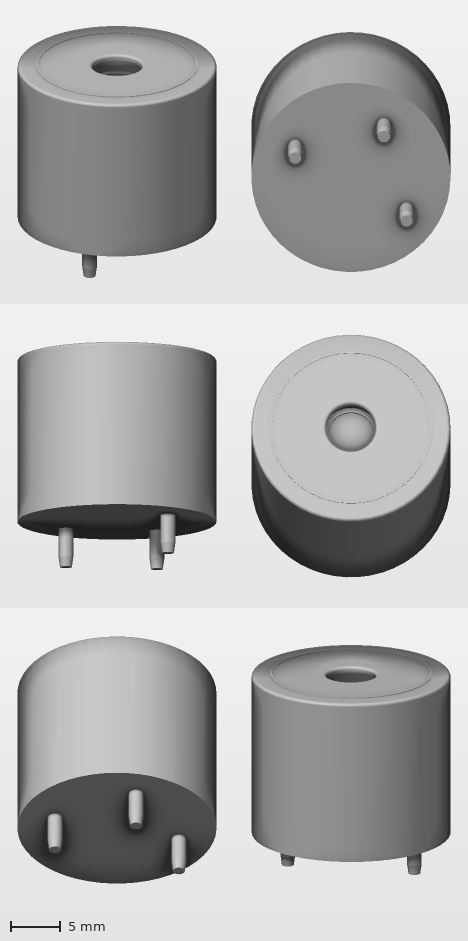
import cadquery as cq

body_diameter = 20.0
total_height = 20.6
pin_length = 3.9
rim_rounding = 0.3

ring_height = 0.08
ring_outer_radius = 8.12
ring_inner_radius = 7.95

opening_radius = 2.5
opening_rounding = 0.3
lip_thickness = 0.6
cavity_radius = opening_radius + opening_rounding
cavity_depth = 1.92
recess_radius = 2.3
recess_depth = 0.2

pin_radius = 0.75
pin_tip_radius = 0.6
pin_taper_length = 1.0
pin_offset = 6.5

body_radius = body_diameter / 2
body_height = total_height - pin_length - ring_height
body_top = pin_length + body_height


def disc_on_axis(bottom, radius, height):
    """Upright cylinder centred on the part's axis."""
    return cq.Workplane("XY").workplane(offset=bottom).circle(radius).extrude(height)


def make_body():
    """Cylinder with a rounded top rim."""
    body = disc_on_axis(pin_length, body_radius, body_height)
    return body.faces(">Z").edges().fillet(rim_rounding)


def make_ring():
    """Thin ring standing on the top face."""
    outer = disc_on_axis(body_top, ring_outer_radius, ring_height)
    return outer.cut(disc_on_axis(body_top, ring_inner_radius, ring_height))


def cut_opening(body):
    """Opening with a rounded mouth, undercut by a cavity with a recessed floor."""
    floor = body_top - cavity_depth
    opening = disc_on_axis(floor, opening_radius, cavity_depth)
    cavity = disc_on_axis(floor, cavity_radius, cavity_depth - lip_thickness)
    recess = disc_on_axis(floor - recess_depth, recess_radius, recess_depth)
    body = body.cut(opening)
    mouth_edge = body.faces(">Z").edges(cq.selectors.RadiusNthSelector(0))
    return mouth_edge.fillet(opening_rounding).cut(cavity).cut(recess)


def make_pin(x, y):
    """Straight pin narrowing to a flat tip at its lower end."""
    profile = [
        (0, 0),
        (pin_tip_radius, 0),
        (pin_radius, pin_taper_length),
        (pin_radius, pin_length),
        (0, pin_length),
    ]
    pin = cq.Workplane("XZ").polyline(profile).close().revolve(360, (0, 0), (0, 1))
    return pin.translate((x, y, 0))


result = cut_opening(make_body()).union(make_ring())
for x, y in [(-pin_offset, 0), (0, -pin_offset), (0, pin_offset)]:
    result = result.union(make_pin(x, y))